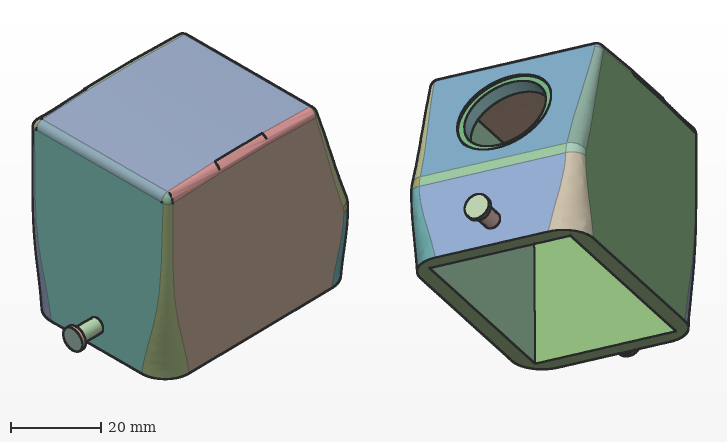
import cadquery as cq
import math

WIDTH = 43.0
BASE_DEPTH = 60.0
HEIGHT = 51.93
DRAFT = math.radians(0.9)
SLANT = math.radians(20.0)
KNEE_Z = 20.2
KNEE_RADIUS = 8.0
CROWN_RADIUS = 400.0
CROWN_Y = -5.0
WALL = 4.0

BASE_CORNER = 7.5
KNEE_CORNER = 3.3
TOP_CORNER = 1.5
FRONT_CORNER_LAW = [(0.0, BASE_CORNER), (0.3, 3.9), (0.46, 2.45), (0.66, 1.8), (1.0, TOP_CORNER)]
TOP_EDGE_RADIUS = 2.0
SLANT_TOP_EDGE_RADIUS = 1.2

ENTRY_Y = 24.0
ENTRY_DIAMETER = 20.0
SEAT_DIAMETER = 23.0
SEAT_DEPTH = 0.5

PIN_SPAN = 75.0
PIN_Z = 6.1
PIN_DIAMETER = 4.0
PIN_HEAD_DIAMETER = 6.0
PIN_HEAD_THICKNESS = 1.1

NEAR = 0.01

half_depth = BASE_DEPTH / 2
knee_y = half_depth - KNEE_Z * math.tan(DRAFT)


def front_y(z):
    return -half_depth + z * math.tan(DRAFT)


def back_y(z):
    return half_depth - z * math.tan(DRAFT)


def slant_y(z):
    return knee_y - (z - KNEE_Z) * math.tan(SLANT)


def slant_z(y):
    return KNEE_Z + (knee_y - y) / math.tan(SLANT)


def crown_z(y):
    return HEIGHT - CROWN_RADIUS + math.sqrt(CROWN_RADIUS**2 - (y - CROWN_Y) ** 2)


def side_profile(bottom_z):
    """Side outline of the hood with its straight walls carried down to bottom_z."""
    top_front_z = crown_z(front_y(HEIGHT))
    top_back_z = crown_z(slant_y(HEIGHT))
    return (
        cq.Workplane("YZ")
        .moveTo(front_y(bottom_z), bottom_z)
        .lineTo(back_y(bottom_z), bottom_z)
        .lineTo(knee_y, KNEE_Z)
        .lineTo(slant_y(top_back_z), top_back_z)
        .threePointArc((CROWN_Y, HEIGHT), (front_y(top_front_z), top_front_z))
        .close()
    )


def hood_block():
    """Solid hood, rounded only where the back wall meets the slanted face."""
    block = side_profile(0).extrude(WIDTH / 2, both=True)
    knee_edge = cq.selectors.NearestToPointSelector((0, knee_y, KNEE_Z))
    return block.edges("|X").edges(knee_edge).fillet(KNEE_RADIUS)


def radius_table(law):
    """Kernel array of (fraction, radius) pairs for a variable fillet."""
    table = cq.occ_impl.shapes.TColgp_HArray1OfPnt2d(1, len(law))
    for index, (fraction, radius) in enumerate(law, start=1):
        table.SetValue(index, cq.occ_impl.shapes.gp_Pnt2d(fraction, radius))
    return table.Array1()


def add_front_corner(fillet, edge):
    """Round one front corner, following the front corner law upwards."""
    fillet.Add(edge.wrapped)
    contour = fillet.NbContours()
    law = FRONT_CORNER_LAW
    starts_at_base = cq.Shape.cast(fillet.FirstVertex(contour)).Center().z < NEAR
    if not starts_at_base:
        law = [(1 - fraction, radius) for fraction, radius in reversed(law)]
    fillet.SetRadius(radius_table(law), contour, 1)


def add_back_corner(fillet, edge, top_z):
    """Round one back corner from the base, around the knee and up the slanted face."""
    fillet.Add(edge.wrapped)
    contour = fillet.NbContours()
    for index in range(1, fillet.NbEdges(contour) + 1):
        for vertex in cq.Edge(fillet.Edge(contour, index)).Vertices():
            z = vertex.Center().z
            if z < NEAR:
                radius = BASE_CORNER
            elif z > top_z - NEAR:
                radius = TOP_CORNER
            else:
                radius = KNEE_CORNER
            fillet.SetRadius(radius, contour, vertex.wrapped)


def round_hood(block):
    """Round the four corners and the rim of the top in one operation."""
    fillet = cq.occ_impl.shapes.BRepFilletAPI_MakeFillet(block.val().wrapped)
    top_edges = block.faces(">Z").edges()
    back_top_z = top_edges.edges(">Y").val().Center().z

    for side in ("<X", ">X"):
        side_edges = block.faces(side).edges()
        add_front_corner(fillet, side_edges.edges("<Y").val())
        add_back_corner(fillet, side_edges.edges(">Y").val(), back_top_z)

    slant_top_edge = top_edges.edges(">Y").val()
    for edge in top_edges.vals():
        radius = SLANT_TOP_EDGE_RADIUS if edge.isSame(slant_top_edge) else TOP_EDGE_RADIUS
        fillet.Add(radius, edge.wrapped)
    return cq.Workplane(cq.Shape.cast(fillet.Shape()).Solids()[0])


def cavity():
    """Inside of the hood, one wall thickness in and open at the base."""
    return side_profile(-2 * WALL).offset2D(-WALL).extrude(WIDTH / 2 - WALL, both=True)


def cable_entry():
    """Cutter for the entry hole and its seat, square to the slanted face."""
    inward = cq.Vector(0, -math.cos(SLANT), -math.sin(SLANT))
    center = cq.Vector(0, ENTRY_Y, slant_z(ENTRY_Y))
    face = cq.Workplane(cq.Plane(center, xDir=(1, 0, 0), normal=inward))
    hole = face.circle(ENTRY_DIAMETER / 2).extrude(2 * WALL)
    seat = face.circle(SEAT_DIAMETER / 2).extrude(SEAT_DEPTH)
    return hole.union(seat)


def locking_pin(direction):
    """Headed pin rooted in the front (-1) or back (+1) wall."""
    root = half_depth - WALL / 2
    tip = PIN_SPAN / 2
    axis = cq.Workplane(cq.Plane((0, 0, PIN_Z), xDir=(1, 0, 0), normal=(0, direction, 0)))
    shank = axis.workplane(offset=root).circle(PIN_DIAMETER / 2).extrude(tip - root)
    head = axis.workplane(offset=tip).circle(PIN_HEAD_DIAMETER / 2).extrude(-PIN_HEAD_THICKNESS)
    return shank.union(head)


result = round_hood(hood_block()).cut(cavity()).cut(cable_entry())
for direction in (-1, 1):
    result = result.union(locking_pin(direction))
result = result.solids()